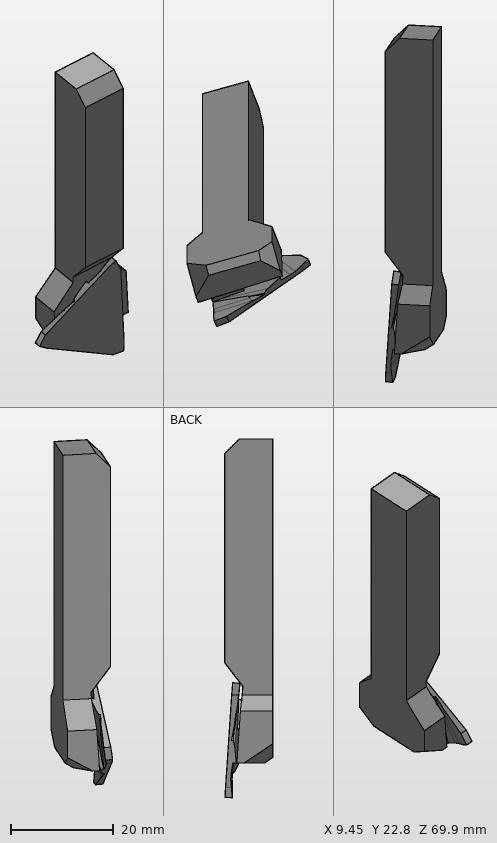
import cadquery as cq
import math

length = 69.95
shank_width = 9.45
shank_top_chamfer = 2.9
relief_top = 26.4
relief_slope = 1.3
relief_depth = 5.6

head_bottom = 6.8
head_neck = 20.1
head_left = 7.9
head_right = -9.6

bevel_rise = 1.1
bevel_run = 1.7
left_bevel_start = 4.0
left_bevel_top = 10.55
right_bevel_start = -6.85
right_bevel_top = 9.8
right_bevel_run = 5.05

tilt = 4.4
tilt_heading = 30.0
insert_x = 8.4
insert_y = -1.95
insert_z = 11.05
insert_thickness = 2.0
tip_count = 3
tip_radius = 12.95
tip_heading = 32.0
bevel_radius = 11.55
bevel_turn = 10.2
land_radius = 11.5
land_turn = 6.1

tip_thickness = 1.5
waist_thickness = 0.9
waist_outer = 7.5
waist_inner = 6.3
rise_inner = 4.2
rise_thickness = 1.1
ramp_foot = 5.7
ramp_turn = 8.6
ramp_run = 3.5
ramp_bend = 0.7
ramp_bend_thickness = 1.25

dip_start = -0.9
dip_turn = 22.0
dip_slope = 7.0

margin = 28.0


def tilted(body):
    """Lean a body made flat about the origin and move it to the insert position."""
    heading = math.radians(tilt_heading)
    axis = (0, math.cos(heading), math.sin(heading))
    leaned = body.rotate((0, 0, 0), axis, -tilt)
    return leaned.translate((insert_x, insert_y, insert_z))


def plane_cutter(corner_a, corner_b, corner_c):
    """Half-space below the plane through three points."""
    a, b, c = (cq.Vector(*corner) for corner in (corner_a, corner_b, corner_c))
    normal = (b - a).cross(c - a).normalized()
    if normal.z > 0:
        normal = -normal
    return cq.Workplane(cq.Plane(a, b - a, normal)).rect(2 * margin, 2 * margin).extrude(margin)


def make_holder():
    """Square shank and widened head, with the tilted seat for the insert on the +X side."""
    half = shank_width / 2
    outline = [
        (-half, length),
        (half, length),
        (half, head_neck),
        (head_left, head_neck - (head_left - half)),
        (head_left, head_bottom),
        (head_right, head_bottom),
        (head_right, head_neck - (-half - head_right)),
        (-half, head_neck),
    ]
    holder = cq.Workplane("YZ").polyline(outline).close().extrude(shank_width)
    holder = holder.edges(">X and >Z").chamfer(shank_top_chamfer)

    relief = (
        cq.Workplane("XZ")
        .moveTo(shank_width, relief_top)
        .lineTo(shank_width - relief_depth, relief_top - relief_depth * relief_slope)
        .lineTo(shank_width - relief_depth, 0)
        .lineTo(shank_width, 0)
        .close()
        .extrude(margin, both=True)
    )
    above_seat = tilted(
        cq.Workplane("YZ", origin=(-insert_thickness, 0, 0)).rect(2 * margin, 2 * margin).extrude(margin)
    )
    holder = holder.cut(relief.intersect(above_seat))

    bevel_top = head_bottom + bevel_rise
    middle = plane_cutter((0, 0, bevel_top), (0, 0.7, bevel_top), (bevel_run, 0, head_bottom))
    left = plane_cutter(
        (0, left_bevel_start, bevel_top),
        (0, head_left, left_bevel_top),
        (bevel_run, left_bevel_start, head_bottom),
    )
    right = plane_cutter(
        (0, right_bevel_start, bevel_top),
        (0, head_right, right_bevel_top),
        (right_bevel_run, head_right, head_bottom),
    )
    return holder.cut(middle).cut(left).cut(right)


def outline_point(radius, heading):
    """Point in the flat insert, with the heading measured from -Z towards +Y."""
    angle = math.radians(heading)
    return (radius * math.sin(angle), -radius * math.cos(angle))


def make_tip_relief():
    """Material ground away behind the lowest tip of the flat insert."""
    ground = (
        cq.Workplane("XZ")
        .moveTo(-rise_thickness, -rise_inner)
        .lineTo(-waist_thickness, -waist_inner)
        .lineTo(-waist_thickness, -waist_outer)
        .lineTo(-tip_thickness, -tip_radius * math.cos(math.radians(tip_heading)))
        .lineTo(-margin, -margin)
        .lineTo(-margin, -rise_inner)
        .close()
        .extrude(margin, both=True)
    )

    beyond_ramp = (
        cq.Workplane("XZ")
        .moveTo(-insert_thickness, ramp_run - ramp_foot)
        .lineTo(-ramp_bend_thickness, ramp_bend - ramp_foot)
        .lineTo(-waist_thickness, -ramp_foot)
        .lineTo(0, -ramp_foot)
        .lineTo(0, -margin)
        .lineTo(-margin, -margin)
        .lineTo(-margin, ramp_run - ramp_foot)
        .close()
        .extrude(margin, both=True)
        .rotate((0, 0, 0), (1, 0, 0), ramp_turn)
    )

    dip = (
        cq.Workplane("XY")
        .moveTo(0, 0)
        .lineTo(margin * math.tan(math.radians(dip_slope)), -margin)
        .lineTo(-margin, -margin)
        .lineTo(-margin, 0)
        .close()
        .extrude(margin, both=True)
        .rotate((0, 0, 0), (1, 0, 0), -dip_turn)
        .translate((-waist_thickness, dip_start, -waist_outer))
    )
    return ground.union(dip).intersect(beyond_ramp)


def make_insert():
    """Three-pointed plate with the same ground relief behind every tip."""
    outline = []
    for tip in range(tip_count):
        heading = tip_heading - tip * 360 / tip_count
        outline.append(outline_point(land_radius, heading + land_turn))
        outline.append(outline_point(tip_radius, heading))
        outline.append(outline_point(bevel_radius, heading - bevel_turn))
    insert = cq.Workplane("YZ").polyline(outline).close().extrude(-insert_thickness)

    relief = make_tip_relief()
    for tip in range(tip_count):
        insert = insert.cut(relief.rotate((0, 0, 0), (1, 0, 0), tip * 360 / tip_count))
    return tilted(insert)


holder = make_holder()
insert = make_insert()
result = cq.Compound.makeCompound([holder.solids().val(), insert.solids().val()])